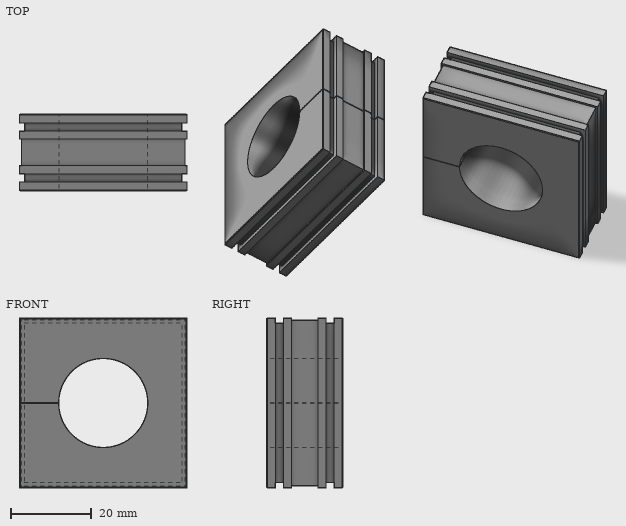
import cadquery as cq

width = 41.5
depth = 19.0
height = 42.0

bore_diameter = 22.0
edge_chamfer = 0.2

end_flange = 2.23
groove_width = 1.97
inner_rib = 2.0
groove_depth = 1.25
waist_depth = 0.5
waist_width = depth - 2 * (end_flange + groove_width + inner_rib)

slit_gap = 0.15


def block():
    """Plain block with the rims of both end faces chamfered."""
    body = cq.Workplane("XY").box(width, depth, height)
    return body.faces("<Y or >Y").edges().chamfer(edge_chamfer)


def perimeter_groove(centre_y, groove_length, radial_depth):
    """Rectangular ring that cuts a groove around all four sides."""
    ring = cq.Workplane("XY").box(width, groove_length, height)
    core = cq.Workplane("XY").box(
        width - 2 * radial_depth, groove_length, height - 2 * radial_depth
    )
    return ring.cut(core).translate((0, centre_y, 0))


def bore():
    return cq.Workplane("XZ").circle(bore_diameter / 2).extrude(depth / 2, both=True)


def slit():
    """Thin cut from the -X side into the bore."""
    return cq.Workplane("XY").box(width / 2, depth, slit_gap).translate((-width / 4, 0, 0))


groove_y = depth / 2 - end_flange - groove_width / 2

result = block()
for side in (-1, 1):
    result = result.cut(perimeter_groove(side * groove_y, groove_width, groove_depth))
result = result.cut(perimeter_groove(0, waist_width, waist_depth))
result = result.cut(bore()).cut(slit())